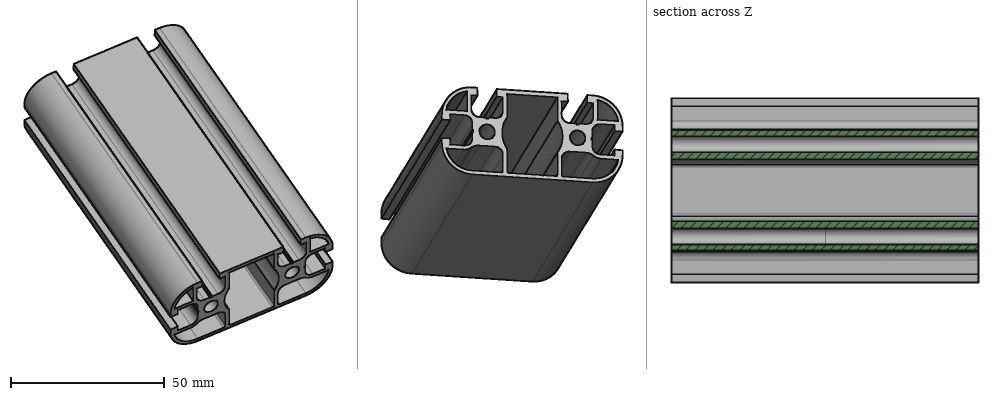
import cadquery as cq

LENGTH = 100.0
WIDTH = 60.0
HEIGHT = 30.0
CORNER_RADIUS = 10.0
SKIN = 1.3
WEB = 1.4

FACE_DISTANCE = HEIGHT / 2
CORE_Y = WIDTH / 2 - FACE_DISTANCE
CORE_HOLE_DIAMETER = 5.1
CORE_HALF = 4.9

MOUTH_WIDTH = 6.5
THROAT_WIDTH = 6.3
SLOT_INNER_WIDTH = 10.5
LIP_DEPTH = 2.7
SLOT_CORNER_RADIUS = 2.7
NOTCH_WIDTH = 1.0
NOTCH_FLOOR_WIDTH = 0.4
NOTCH_DEPTH = 0.3
SLOT_HALF = SLOT_INNER_WIDTH / 2
WEB_OUTER = SLOT_HALF + WEB

ROOF_STEP_LENGTH = 5.0

TOP_WALL = 1.5
CENTRE_HALF_WIDTH = CORE_Y - WEB_OUTER
CENTRE_BULGE = 1.7
BULGE_HALF_HEIGHT = 5.4
FOOT_RADIUS = 0.7


def prism(outline):
    """Extrude a closed (Y, Z) outline over the full length."""
    return outline.close().extrude(LENGTH / 2, both=True)


def block(y_min, y_max, z_min, z_max):
    """Full-length rectangular bar between the given Y and Z limits."""
    return (
        cq.Workplane("YZ")
        .center((y_min + y_max) / 2, (z_min + z_max) / 2)
        .rect(y_max - y_min, z_max - z_min)
        .extrude(LENGTH / 2, both=True)
    )


def rounded_bar(inset):
    """Outer envelope of the profile, shrunk by an inset on all four sides."""
    bar = cq.Workplane("YZ").rect(WIDTH - 2 * inset, HEIGHT - 2 * inset)
    return bar.extrude(LENGTH / 2, both=True).edges("|X").fillet(CORNER_RADIUS - inset)


def upward_slot():
    """T-slot opening towards +Z, with the core centre at the origin."""
    lip_z = FACE_DISTANCE - LIP_DEPTH
    notch_floor_z = CORE_HALF - NOTCH_DEPTH
    right_half = (
        cq.Workplane("YZ")
        .moveTo(0, notch_floor_z)
        .lineTo(NOTCH_FLOOR_WIDTH / 2, notch_floor_z)
        .lineTo(NOTCH_WIDTH / 2, CORE_HALF)
        .lineTo(SLOT_HALF - SLOT_CORNER_RADIUS, CORE_HALF)
        .tangentArcPoint((SLOT_HALF, CORE_HALF + SLOT_CORNER_RADIUS), relative=False)
        .lineTo(SLOT_HALF, lip_z)
        .lineTo(THROAT_WIDTH / 2, lip_z)
        .lineTo(MOUTH_WIDTH / 2, FACE_DISTANCE)
        .lineTo(0, FACE_DISTANCE)
    )
    return right_half.mirrorY().extrude(LENGTH / 2, both=True)


def top_corner_chamber():
    """Hollow quarter between the two slots and the rounded top corner."""
    quarter = block(CORE_Y + WEB_OUTER, WIDTH / 2, WEB_OUTER, HEIGHT / 2)
    return quarter.intersect(rounded_bar(SKIN))


def bottom_chamber():
    """Hollow below the core, its roof stepping down under the side slot in an S-curve."""
    inner_y = CORE_Y - SLOT_HALF
    floor_z = SKIN - HEIGHT / 2
    step = WEB_OUTER - CORE_HALF
    step_middle = CORE_Y + SLOT_HALF
    step_start = step_middle - ROOF_STEP_LENGTH / 2
    step_end = step_middle + ROOF_STEP_LENGTH / 2
    outline = (
        cq.Workplane("YZ")
        .moveTo(inner_y + FOOT_RADIUS, floor_z)
        .radiusArc((inner_y, floor_z + FOOT_RADIUS), FOOT_RADIUS)
        .lineTo(inner_y, -CORE_HALF - SLOT_CORNER_RADIUS)
        .radiusArc((inner_y + SLOT_CORNER_RADIUS, -CORE_HALF), SLOT_CORNER_RADIUS)
        .lineTo(step_start, -CORE_HALF)
        .tangentArcPoint((step_middle, -CORE_HALF - step / 2), relative=False)
        .tangentArcPoint((step_end, -WEB_OUTER), relative=False)
        .lineTo(WIDTH / 2, -WEB_OUTER)
        .lineTo(WIDTH / 2, floor_z)
    )
    return prism(outline).intersect(rounded_bar(SKIN))


def centre_chamber():
    """Middle hollow, bulging towards both cores, with filleted bottom corners."""
    half = CENTRE_HALF_WIDTH
    chamber = block(-half, half, SKIN - HEIGHT / 2, HEIGHT / 2 - TOP_WALL)
    chamber = chamber.edges("|X and <Z").fillet(FOOT_RADIUS)
    bulges = prism(
        cq.Workplane("YZ")
        .moveTo(-half, -BULGE_HALF_HEIGHT)
        .threePointArc((-half - CENTRE_BULGE, 0), (-half, BULGE_HALF_HEIGHT))
        .lineTo(half, BULGE_HALF_HEIGHT)
        .threePointArc((half + CENTRE_BULGE, 0), (half, -BULGE_HALF_HEIGHT))
    )
    return chamber.union(bulges)


def half_cutouts():
    """All openings around the core on the +Y side."""
    top_slot = upward_slot().translate((0, CORE_Y, 0))
    side_slot = upward_slot().rotate((0, 0, 0), (1, 0, 0), -90).translate((0, CORE_Y, 0))
    core_hole = (
        cq.Workplane("YZ")
        .center(CORE_Y, 0)
        .circle(CORE_HOLE_DIAMETER / 2)
        .extrude(LENGTH / 2, both=True)
    )
    return [top_slot, side_slot, core_hole, top_corner_chamber(), bottom_chamber()]


result = rounded_bar(0).cut(centre_chamber())
for cutout in half_cutouts():
    result = result.cut(cutout).cut(cutout.mirror("XZ"))